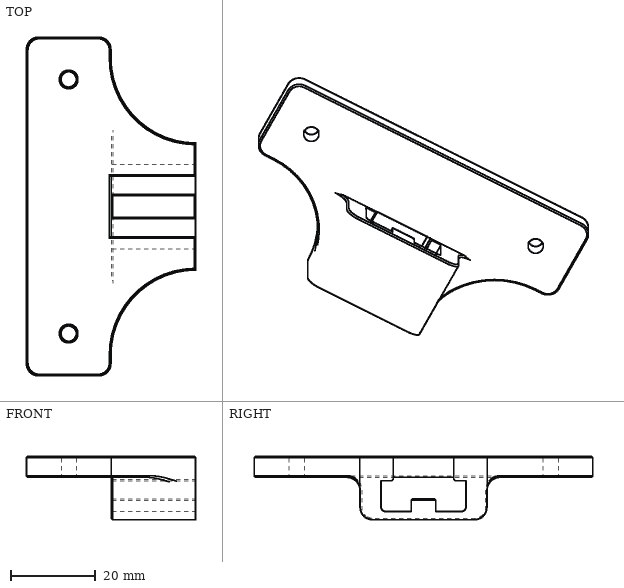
import cadquery as cq
import math

plate_depth = 40.0
plate_length = 80.0
plate_thickness = 5.0
arm_width = 20.0
corner_radius = 3.0

total_height = 15.0
bracket_half_width = 15.0
bracket_radius = 3.0
window_half_width = 10.0
floor_thickness = 2.0
window_top = 9.2
window_corner_radius = 1.0

slot_half_width = 7.1
tongue_half_width = 2.9
tongue_top = 5.0

hole_diameter = 3.6
hole_x = 10.0
hole_y = 30.0

edge_chamfer = 0.4

plate_bottom = total_height - plate_thickness
bracket_depth = plate_depth - arm_width
cutout_radius = bracket_depth
cutout_center_y = bracket_half_width + cutout_radius
blend_half_width = bracket_half_width + bracket_radius
tolerance = 0.01


def make_outline_prism(bottom):
    """Plate outline extruded from the given Z up to the top of the part."""
    height = total_height - bottom
    base = cq.Workplane("XY", origin=(0, 0, bottom))
    arms = (
        base.center(arm_width / 2, 0)
        .rect(arm_width, plate_length)
        .extrude(height)
        .edges("|Z")
        .fillet(corner_radius)
    )
    web = (
        base.center(arm_width + bracket_depth / 2, 0)
        .rect(bracket_depth, 2 * cutout_center_y)
        .extrude(height)
    )
    cutouts = (
        base.pushPoints([(plate_depth, -cutout_center_y), (plate_depth, cutout_center_y)])
        .circle(cutout_radius)
        .extrude(height)
    )
    return arms.union(web).cut(cutouts)


def make_bracket():
    """Solid bracket with rounded bottom corners, flared into the plate, bevelled at its inner end."""
    side = bracket_half_width
    radius = bracket_radius
    flare_start = plate_bottom - radius
    bend = radius * math.sqrt(0.5)
    half_profile = (
        cq.Workplane("YZ", origin=(arm_width, 0, 0))
        .lineTo(side - radius, 0)
        .threePointArc((side - radius + bend, radius - bend), (side, radius))
        .lineTo(side, flare_start)
        .threePointArc((blend_half_width - bend, flare_start + bend), (blend_half_width, plate_bottom))
        .lineTo(blend_half_width, total_height)
        .lineTo(0, total_height)
    )
    prism = half_profile.mirrorY().extrude(bracket_depth)
    bevelled = prism.faces("<X").edges().chamfer(edge_chamfer)
    return bevelled.intersect(make_outline_prism(0))


def is_underside_rim(edge):
    """True for the plate's lower outline and its continuation across the bracket flares."""
    box = edge.BoundingBox()
    if edge.geomType() == "BSPLINE":
        return True
    at_plate_bottom = abs(box.zmin - plate_bottom) < tolerance and abs(box.zmax - plate_bottom) < tolerance
    reach = blend_half_width + tolerance
    under_bracket = box.xmin > tolerance and box.ymin > -reach and box.ymax < reach
    return at_plate_bottom and not under_bracket


def bevel_underside(body):
    rim = [edge for edge in body.edges().vals() if is_underside_rim(edge)]
    return body.newObject(rim).chamfer(edge_chamfer)


def box_on_bracket(half_width, bottom, top):
    """Block as long as the bracket, centred on Y = 0."""
    return (
        cq.Workplane("XY", origin=(arm_width + bracket_depth / 2, 0, bottom))
        .rect(bracket_depth, 2 * half_width)
        .extrude(top - bottom)
    )


def make_opening():
    """Window through the bracket joined to the narrower slot through the plate."""
    window = box_on_bracket(window_half_width, floor_thickness, window_top)
    window = window.edges("|X and <Z").fillet(window_corner_radius)
    slot = box_on_bracket(slot_half_width, window_top, total_height)
    lip_top = window_top + edge_chamfer
    lip_half_width = slot_half_width + edge_chamfer
    lip_bevel = (
        cq.Workplane("YZ", origin=(arm_width, 0, 0))
        .moveTo(-lip_half_width, window_top)
        .lineTo(lip_half_width, window_top)
        .lineTo(slot_half_width, lip_top)
        .lineTo(-slot_half_width, lip_top)
        .close()
        .extrude(bracket_depth)
    )
    return window.union(slot).union(lip_bevel)


def make_tongue():
    tongue = box_on_bracket(tongue_half_width, floor_thickness, tongue_top)
    return tongue.faces(">Z").edges().chamfer(edge_chamfer)


def make_screw_holes():
    return (
        cq.Workplane("XY", origin=(0, 0, plate_bottom))
        .pushPoints([(hole_x, -hole_y), (hole_x, hole_y)])
        .circle(hole_diameter / 2)
        .extrude(plate_thickness)
    )


body = make_outline_prism(plate_bottom).union(make_bracket())
body = bevel_underside(body)
body = body.cut(make_opening()).cut(make_screw_holes())
body = body.faces(">Z").edges().chamfer(edge_chamfer)
result = body.union(make_tongue())